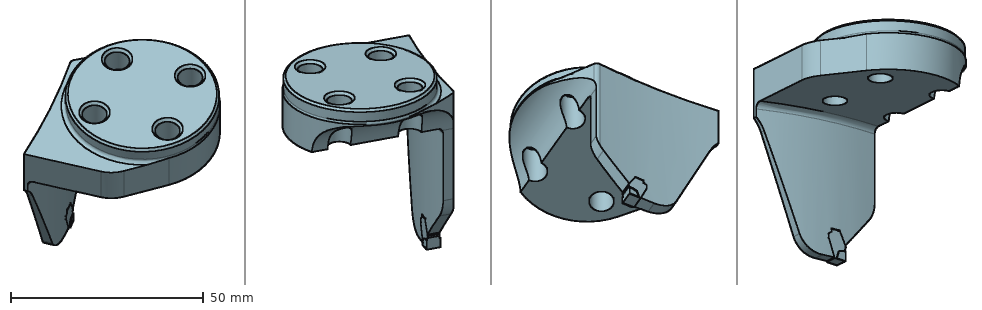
import cadquery as cq
import math

HEIGHT = 54.0
X_LIMIT = 32.4

DISC_DIAMETER = 40.0
DISC_RADIUS = DISC_DIAMETER / 2
DISC_CHAMFER = 0.65
NECK_RADIUS = 1.1
SHOULDER_Z = -4.5

HOLE_DIAMETER = 6.5
COUNTERSINK_DIAMETER = 8.0
HOLE_PITCH = 19.85

HUB_RADIUS = 20.25
FRONT_Y = -25.55
FRONT_X = -24.35
BACK_CORNER_Y = 9.9
BACK_CORNER_FILLET = 1.6
FRONT_CORNER_FILLET = 9.4
FLANK_ANGLE = math.atan2(-4, 3)

CREST_Y = 1.6
OUTER_CREST_X = -22.35
INNER_CREST_X = -18.9
INNER_RADIUS = 86.4
PLATE_BOTTOM_Z = -14.3
ROOT_FILLET = 1.6

SCOOP_RADIUS = HUB_RADIUS - BACK_CORNER_Y
BACK_BEND = (BACK_CORNER_Y, -38.3)
BACK_BEND_RADIUS = 8.1
SEAT_POINT = (-1.6, -51.55)
BLADE_BOTTOM_Z = -53.6
TOE = (-12.1, BLADE_BOTTOM_Z)
TOE_RADIUS = 7.0
FRONT_BLEND_BOTTOM = (-23.5, -21.75)
FRONT_EDGE_BOTTOM_Z = -18.2

INSERT_TOP_Z = -45.9
SEAT_GAP = 0.2
INSERT_TIP_Y = 0.05
HEAD_TOP_Z = -51.3
HEAD_OUTER_X = -22.6
HEAD_INNER_X = -18.7
HEAD_OUTLINE = [
    (INSERT_TIP_Y, -HEIGHT),
    (INSERT_TIP_Y, HEAD_TOP_Z),
    (-0.85, HEAD_TOP_Z),
    (-2.1, -51.7),
    (-2.8, -53.85),
]
INSERT_OUTLINE = [
    (-1.7, INSERT_TOP_Z),
    (-4.2, INSERT_TOP_Z),
    (-4.2, -46.6),
    (-5.15, -47.3),
    (-5.15, -48.45),
    (-3.3, -53.85),
    (INSERT_TIP_Y, -HEIGHT),
    (INSERT_TIP_Y, -50.65),
    (0.25, -50.0),
]


def on_hub(angle):
    """Point on the hub circle at the given angle from +X."""
    return (HUB_RADIUS * math.cos(angle), HUB_RADIUS * math.sin(angle))


front_sagitta = OUTER_CREST_X - FRONT_X
outer_radius = ((CREST_Y - FRONT_Y) ** 2 + front_sagitta**2) / (2 * front_sagitta)


def blade_cylinder(crest_x, radius):
    """Upright cylinder whose furthest +X point lies on the blade crest."""
    return (
        cq.Workplane("XY", origin=(crest_x - radius, CREST_Y, -HEIGHT - 0.55))
        .circle(radius)
        .extrude(HEIGHT + 1.1)
    )


def plan_prism():
    """Full-height prism of the plan outline, with its two rounded corners."""
    back_sagitta = outer_radius - math.sqrt(outer_radius**2 - (BACK_CORNER_Y - CREST_Y) ** 2)
    back_x = OUTER_CREST_X - back_sagitta
    corner_distance = math.hypot(back_x, BACK_CORNER_Y)
    back_angle = math.atan2(BACK_CORNER_Y, back_x) - math.acos(HUB_RADIUS / corner_distance)
    flank_x = (HUB_RADIUS - FRONT_Y * math.sin(FLANK_ANGLE)) / math.cos(FLANK_ANGLE)
    prism = (
        cq.Workplane("XY", origin=(0, 0, -HEIGHT))
        .moveTo(FRONT_X, FRONT_Y)
        .lineTo(flank_x, FRONT_Y)
        .lineTo(*on_hub(FLANK_ANGLE))
        .threePointArc((HUB_RADIUS, 0), on_hub(back_angle))
        .lineTo(back_x, BACK_CORNER_Y)
        .threePointArc((OUTER_CREST_X, CREST_Y), (FRONT_X, FRONT_Y))
        .close()
        .extrude(HEIGHT)
    )
    front_corner = cq.NearestToPointSelector((flank_x, FRONT_Y, -HEIGHT / 2))
    back_corner = cq.NearestToPointSelector((back_x, BACK_CORNER_Y, -HEIGHT / 2))
    prism = prism.edges(front_corner).fillet(FRONT_CORNER_FILLET)
    return prism.edges(back_corner).fillet(BACK_CORNER_FILLET)


def side_prism():
    """Side profile in Y and Z, extruded along X past the whole holder."""
    scoop_mid = (
        HUB_RADIUS - SCOOP_RADIUS * math.sin(math.pi / 4),
        SHOULDER_Z - SCOOP_RADIUS * (1 - math.cos(math.pi / 4)),
    )
    prism = (
        cq.Workplane("YZ", origin=(-X_LIMIT, 0, 0))
        .moveTo(FRONT_Y, 0)
        .lineTo(HUB_RADIUS, 0)
        .lineTo(HUB_RADIUS, SHOULDER_Z)
        .threePointArc(scoop_mid, (BACK_CORNER_Y, SHOULDER_Z - SCOOP_RADIUS))
        .lineTo(*BACK_BEND)
        .lineTo(*SEAT_POINT)
        .lineTo(SEAT_POINT[0], BLADE_BOTTOM_Z)
        .lineTo(*TOE)
        .lineTo(*FRONT_BLEND_BOTTOM)
        .tangentArcPoint(
            (FRONT_Y - FRONT_BLEND_BOTTOM[0], FRONT_EDGE_BOTTOM_Z - FRONT_BLEND_BOTTOM[1]),
        )
        .close()
        .extrude(2 * X_LIMIT)
    )
    prism = prism.edges(cq.NearestToPointSelector((0, *BACK_BEND))).fillet(BACK_BEND_RADIUS)
    return prism.edges(cq.NearestToPointSelector((0, *TOE))).fillet(TOE_RADIUS)


def under_plate_space():
    """Space below the plate and inside the blade, with the root fillet."""
    block_height = HEIGHT + PLATE_BOTTOM_Z + 0.55
    block = (
        cq.Workplane("XY", origin=(0, 0, PLATE_BOTTOM_Z - block_height))
        .rect(2 * X_LIMIT, 2 * X_LIMIT)
        .extrude(block_height)
        .cut(blade_cylinder(INNER_CREST_X, INNER_RADIUS))
    )
    root_edge = cq.NearestToPointSelector((INNER_CREST_X, CREST_Y, PLATE_BOTTOM_Z))
    return block.edges(root_edge).fillet(ROOT_FILLET)


def disc_envelope():
    """Chamfered disc with a concave neck that flares into the shoulder."""
    flare_radius = DISC_RADIUS + NECK_RADIUS
    neck_mid = (
        flare_radius - NECK_RADIUS * math.cos(math.pi / 4),
        SHOULDER_Z + NECK_RADIUS * (1 - math.sin(math.pi / 4)),
    )
    return (
        cq.Workplane("XZ")
        .moveTo(0, 0)
        .lineTo(DISC_RADIUS - DISC_CHAMFER, 0)
        .lineTo(DISC_RADIUS, -DISC_CHAMFER)
        .lineTo(DISC_RADIUS, SHOULDER_Z + NECK_RADIUS)
        .threePointArc(neck_mid, (flare_radius, SHOULDER_Z))
        .lineTo(0, SHOULDER_Z)
        .close()
        .revolve(360, (0, 0, 0), (0, 1, 0))
    )


def insert_prism(outline):
    """Outline in Y and Z, extruded along X through the whole blade."""
    return cq.Workplane("YZ", origin=(-X_LIMIT, 0, 0)).polyline(outline).close().extrude(X_LIMIT)


def insert_pocket():
    """Seat for the insert, with a small gap above its upper end."""
    back_top = INSERT_OUTLINE[0]
    front_top = INSERT_OUTLINE[1]
    gap_top = INSERT_TOP_Z + SEAT_GAP
    gap = insert_prism([back_top, front_top, (front_top[0], gap_top), (back_top[0], gap_top)])
    return insert_prism(INSERT_OUTLINE).union(gap)


def hole_circles(diameter):
    """Circles on the disc top at the four bolt positions."""
    return (
        cq.Workplane("XY")
        .rect(HOLE_PITCH, HOLE_PITCH, forConstruction=True)
        .vertices()
        .circle(diameter / 2)
    )


def make_holder():
    """Flanged disc with the curved blade, bolt holes and insert seat."""
    lower = (
        cq.Workplane("XY", origin=(0, 0, -HEIGHT))
        .rect(2 * X_LIMIT, 2 * X_LIMIT)
        .extrude(HEIGHT + SHOULDER_Z)
    )
    holder = plan_prism().intersect(lower.union(disc_envelope()))
    holder = holder.cut(under_plate_space()).intersect(side_prism())
    holder = holder.cut(insert_pocket())
    holes = hole_circles(HOLE_DIAMETER).extrude(PLATE_BOTTOM_Z)
    countersink_depth = (COUNTERSINK_DIAMETER - HOLE_DIAMETER) / 2
    countersinks = hole_circles(COUNTERSINK_DIAMETER).extrude(-countersink_depth, taper=45)
    return holder.cut(holes).cut(countersinks)


def make_insert():
    """Shank flush with both blade faces, plus a slightly wider cutting head."""
    shank = (
        insert_prism(INSERT_OUTLINE)
        .intersect(blade_cylinder(INNER_CREST_X, INNER_RADIUS))
        .cut(blade_cylinder(OUTER_CREST_X, outer_radius))
    )
    head = (
        cq.Workplane("YZ", origin=(HEAD_OUTER_X, 0, 0))
        .polyline(HEAD_OUTLINE)
        .close()
        .extrude(HEAD_INNER_X - HEAD_OUTER_X)
    )
    return shank.union(head)


holder = make_holder()
insert = make_insert()
result = cq.Compound.makeCompound([holder.solids().val(), insert.solids().val()])